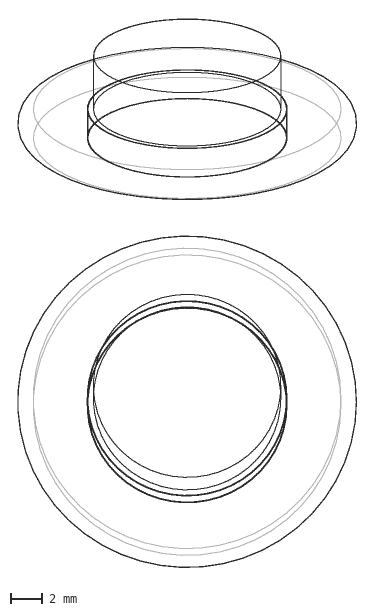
import cadquery as cq

rim_diameter = 21.7
rim_thickness = 2.0
bore_diameter = 12.8

total_height = 5.7
button_diameter = 12.0
flange_diameter = 12.7
flange_height = rim_thickness


def make_rim():
    """Flat ring with a plain bore and a fully rounded outer edge."""
    outer_radius = rim_diameter / 2
    bore_radius = bore_diameter / 2
    edge_radius = rim_thickness / 2
    flat_radius = outer_radius - edge_radius
    section = (
        cq.Workplane("XZ")
        .moveTo(bore_radius, 0)
        .lineTo(flat_radius, 0)
        .threePointArc((outer_radius, edge_radius), (flat_radius, rim_thickness))
        .lineTo(bore_radius, rim_thickness)
        .close()
    )
    return section.revolve(360, (0, 0, 0), (0, 1, 0))


def make_button():
    """Stepped button: a flange inside the bore and a narrower cylinder rising above it."""
    flange = cq.Workplane("XY").circle(flange_diameter / 2).extrude(flange_height)
    cylinder = cq.Workplane("XY").circle(button_diameter / 2).extrude(total_height)
    return flange.union(cylinder)


rim = make_rim()
button = make_button()

result = cq.Compound.makeCompound([rim.val(), button.val()])